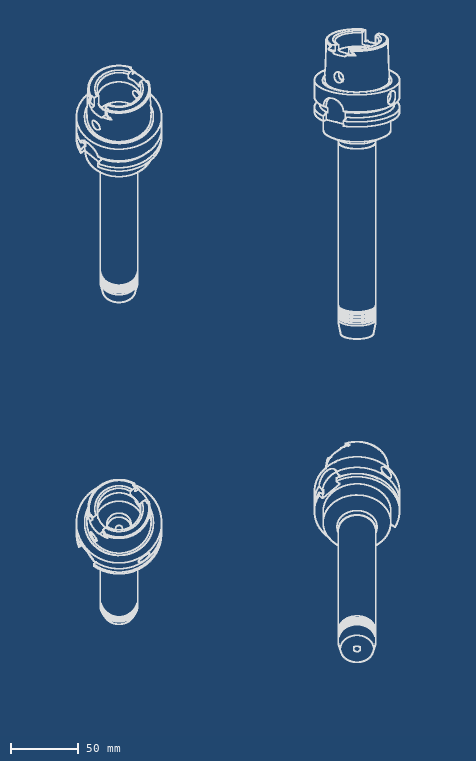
import cadquery as cq

total_height = 232.0

nose_radius = 12.3
tube_diameter = 28.0
tube_radius = tube_diameter / 2
nose_cone_top = 9.3
grip_bottom = 11.1
grip_top = 22.3
grip_groove_depth = 0.7
grip_groove_count = 4
grip_groove_pitch = 2.8
grip_land_width = 1.5

tube_top = 150.7
neck_radius = 13.7
neck_blend_bottom = 152.1
cone_bottom = 155.0
cone_bottom_radius = 14.8
body_bottom = 160.5
body_radius = 25.0

flange_radius = 31.5
flange_bottom = 174.6
flange_top = 200.0
groove_floor_radius = 27.5
groove_lower_edge = 178.5
groove_floor_bottom = 180.5
groove_floor_top = 184.1
groove_upper_edge = 186.5

shank_base_radius = 24.0
shank_tip_radius = 23.0
shank_base_height = 202.5
undercut_radius = 23.7
face_recess_radius = 25.5
face_recess_depth = 0.7
tip_chamfer_width = 1.0
tip_chamfer_height = 0.7

bore_radius = 16.2
bore_mouth_radius = 17.9
bore_mouth_depth = 1.0
bore_neck_depth = 11.5
bore_wide_radius = 18.3
bore_floor_depth = 37.0
socket_radius = 9.0
socket_depth = 9.3
channel_radius = 2.5

coolant_hole_diameter = 8.1
coolant_hole_depth = 22.7
chip_hole_radius = 5.0
chip_hole_drop = 7.2
chip_hole_floor = 27.0

keyway_half_width = 9.0
keyway_floor = 26.5
keyway_top_drop = 4.9

clearance = 2.3

slot_half_width = 6.0
slot_fillet = 1.5
front_slot_depth = 10.2
back_slot_depth = 5.5
flare_start = 19.5
flare_tip_half_width = 8.8
flare_base_half_width = 10.0
flare_foot_half_width = 12.5
flare_foot_height = 2.3
flare_floor_rise = 1.2


def grip_outline():
    """Outline of the pointed ring grooves; the end grooves run out to the tube surface more gently."""
    groove_root = tube_radius - grip_groove_depth
    half_groove = (grip_groove_pitch - grip_land_width) / 2
    root_span = (grip_groove_count - 1) * grip_groove_pitch
    first_root = (grip_bottom + grip_top - root_span) / 2
    points = [(tube_radius, grip_bottom)]
    for i in range(grip_groove_count):
        root = first_root + i * grip_groove_pitch
        if i > 0:
            points.append((tube_radius, root - half_groove))
        points.append((groove_root, root))
        if i < grip_groove_count - 1:
            points.append((tube_radius, root + half_groove))
    points.append((tube_radius, grip_top))
    return points


def outer_body():
    """Revolved outside of nose, tube, body, flange and shank."""
    recess_floor = flange_top - face_recess_depth
    profile = (
        cq.Workplane("XZ")
        .moveTo(0, 0)
        .lineTo(nose_radius, 0)
        .lineTo(tube_radius, nose_cone_top)
        .polyline(grip_outline(), includeCurrent=True)
        .lineTo(tube_radius, tube_top)
        .lineTo(neck_radius, tube_top)
        .lineTo(neck_radius, neck_blend_bottom)
        .tangentArcPoint((cone_bottom_radius, cone_bottom), relative=False)
        .lineTo(body_radius, body_bottom)
        .lineTo(body_radius, flange_bottom)
        .lineTo(flange_radius, flange_bottom)
        .lineTo(flange_radius, groove_lower_edge)
        .lineTo(groove_floor_radius, groove_floor_bottom)
        .lineTo(groove_floor_radius, groove_floor_top)
        .lineTo(flange_radius, groove_upper_edge)
        .lineTo(flange_radius, flange_top)
        .lineTo(face_recess_radius, flange_top)
        .lineTo(face_recess_radius, recess_floor)
        .lineTo(undercut_radius, recess_floor)
        .lineTo(undercut_radius, flange_top)
        .lineTo(shank_base_radius, shank_base_height)
        .lineTo(shank_tip_radius, total_height - tip_chamfer_height)
        .lineTo(shank_tip_radius - tip_chamfer_width, total_height)
        .lineTo(0, total_height)
        .close()
    )
    return profile.revolve(360, (0, 0, 0), (0, 1, 0))


def shank_bore():
    """Chamfered bore that steps wider below its neck, with socket and coolant channel."""
    neck_end = total_height - bore_neck_depth
    floor = total_height - bore_floor_depth
    return (
        cq.Workplane("XZ")
        .moveTo(0, 0)
        .lineTo(channel_radius, 0)
        .lineTo(channel_radius, floor - socket_depth)
        .lineTo(socket_radius, floor - socket_depth)
        .lineTo(socket_radius, floor)
        .lineTo(bore_wide_radius, floor)
        .lineTo(bore_wide_radius, neck_end)
        .lineTo(bore_radius, neck_end)
        .lineTo(bore_radius, total_height - bore_mouth_depth)
        .lineTo(bore_mouth_radius, total_height)
        .lineTo(0, total_height)
        .close()
        .revolve(360, (0, 0, 0), (0, 1, 0))
    )


def front_extrusion(sketch, start):
    """Extrude an XZ outline outward from y = -start, past the flange."""
    return sketch.extrude(flange_radius - start + clearance)


def keyway():
    """Round-topped keyway on the -Y side, open through the flange bottom."""
    arc_center = flange_top - keyway_top_drop - keyway_half_width
    sketch = (
        cq.Workplane("XZ", origin=(0, -keyway_floor, 0))
        .moveTo(-keyway_half_width, flange_bottom)
        .lineTo(keyway_half_width, flange_bottom)
        .lineTo(keyway_half_width, arc_center)
        .threePointArc((0, arc_center + keyway_half_width), (-keyway_half_width, arc_center))
        .close()
    )
    return front_extrusion(sketch, keyway_floor)


def drive_slot(depth):
    """Slot through the -Y wall of the shank with a flared outer mouth."""
    floor = total_height - depth
    slot = (
        cq.Workplane("XY")
        .workplane(offset=floor)
        .center(0, -flange_radius / 2)
        .rect(2 * slot_half_width, flange_radius)
        .extrude(depth)
        .edges("|Y and <Z")
        .fillet(slot_fillet)
    )
    flare_floor = floor + flare_floor_rise
    foot_top = flare_floor + flare_foot_height
    flare = (
        cq.Workplane("XZ", origin=(0, -flare_start, 0))
        .moveTo(flare_tip_half_width, total_height)
        .lineTo(flare_base_half_width, foot_top)
        .lineTo(flare_foot_half_width, flare_floor)
        .lineTo(-flare_foot_half_width, flare_floor)
        .lineTo(-flare_base_half_width, foot_top)
        .lineTo(-flare_tip_half_width, total_height)
        .close()
    )
    return slot.union(front_extrusion(flare, flare_start))


def opposite(feature):
    """Copy of a -Y feature turned to the +Y side."""
    return feature.rotate((0, 0, 0), (0, 0, 1), 180)


def coolant_hole():
    """Cross hole through both walls of the shank."""
    return (
        cq.Workplane("XZ", origin=(0, 0, total_height - coolant_hole_depth))
        .circle(coolant_hole_diameter / 2)
        .extrude(flange_radius, both=True)
    )


def chip_hole():
    """Shallow blind hole in the -X side of the flange."""
    return (
        cq.Workplane("YZ", origin=(-chip_hole_floor, 0, flange_top - chip_hole_drop))
        .circle(chip_hole_radius)
        .extrude(-flange_radius)
    )


result = outer_body().cut(shank_bore())
result = result.cut(keyway()).cut(opposite(keyway()))
result = result.cut(drive_slot(front_slot_depth)).cut(opposite(drive_slot(back_slot_depth)))
result = result.cut(coolant_hole()).cut(chip_hole())